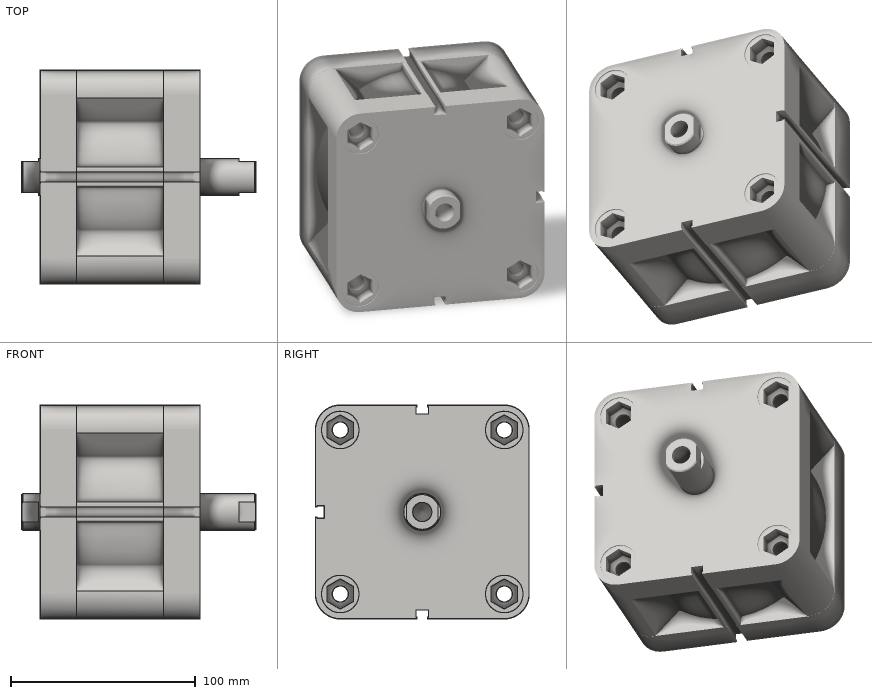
import cadquery as cq
import math


total_length = 127.0
short_rod_end = 10.0
cap_length = 19.8
barrel_length = 47.1
housing_length = 2 * cap_length + barrel_length

section_size = 116.0
half_section = section_size / 2
bolt_spacing = 88.9
bolt_offset = bolt_spacing / 2
corner_radius = half_section - bolt_offset
bolt_hole_diameter = 8.6
bolt_recess_diameter = 20.3
bolt_recess_depth = 0.6
hex_across_flats = 14.2
hex_corner_diameter = hex_across_flats / math.cos(math.pi / 6)
hex_depth = 9.0

barrel_radius = 53.2
lobe_width = 21.1
lobe_radius = 13.5
lobe_root_fillet = 1.3
lobe_angles = (45, 135, 225, 315)
rail_width = 10.7
rail_fillet = 1.0
mouth_fillet = 0.4

slot_mouth_width = 5.6
slot_channel_width = 6.6
slot_depth = 4.8
slot_lip = 1.0
slot_angles = (0, 90, 180)

rod_diameter = 20.1
rod_chamfer = 0.6
rod_flat_width = 16.9
rod_flat_length = 9.1
rod_hole_diameter = 10.4
rod_hole_depth = 20.3
drill_point_angle = 118
drill_tip_length = rod_hole_diameter / 2 / math.tan(math.radians(drill_point_angle / 2))


def at_x(x):
    """Workplane facing +X at a given X, with local axes Y and Z."""
    return cq.Workplane("YZ", origin=(x, 0, 0))


def turned(body, angle):
    """Turn a body about the X axis; +90 takes +Y to +Z, and +Z to -Y."""
    return body.rotate((0, 0, 0), (1, 0, 0), angle)


def bolt_circles(x, diameter, length):
    """Four round bars on the tie-bolt axes."""
    return at_x(x).rect(bolt_spacing, bolt_spacing, forConstruction=True).vertices().circle(
        diameter / 2).extrude(length)


def cut_slots_and_bores(body):
    """Cut the three sensor slots, the tie-bolt holes and the rod bore that run through the housing."""
    channel_height = slot_depth - slot_lip
    channel_bottom = half_section - slot_depth
    mouth = at_x(0).center(0, half_section).rect(slot_mouth_width, 2 * slot_depth).extrude(housing_length)
    channel = at_x(0).center(0, channel_bottom + channel_height / 2).rect(
        slot_channel_width, channel_height).extrude(housing_length)
    slot = mouth.union(channel)
    for angle in slot_angles:
        body = body.cut(turned(slot, angle))
    rod_bore = at_x(0).circle(rod_diameter / 2).extrude(housing_length)
    return body.cut(bolt_circles(0, bolt_hole_diameter, housing_length)).cut(rod_bore)


def make_cap():
    """End cap with its outer face at X = 0, hex bolt sockets in shallow round recesses."""
    cap = at_x(0).rect(section_size, section_size).extrude(cap_length).edges("|X").fillet(corner_radius)
    cap = cap.cut(bolt_circles(0, bolt_recess_diameter, bolt_recess_depth))
    hexagon = turned(at_x(0).polygon(6, hex_corner_diameter).extrude(hex_depth), 90)
    for y in (-bolt_offset, bolt_offset):
        for z in (-bolt_offset, bolt_offset):
            cap = cap.cut(hexagon.translate((0, y, z)))
    return cut_slots_and_bores(cap)


def profile_points(y, z, angles):
    """(Y, Z) places of a mirrored pair of profile corners, repeated at each angle about X."""
    points = []
    for angle in angles:
        a = math.radians(angle)
        for side in (-y, y):
            points.append((side * math.cos(a) - z * math.sin(a), side * math.sin(a) + z * math.cos(a)))
    return points


def fillet_lengthwise(body, points, radius):
    """Round the lengthwise barrel edges that pass through the given (Y, Z) points."""
    mid_x = cap_length + barrel_length / 2
    lengthwise = body.edges("|X")
    chosen = [lengthwise.edges(cq.NearestToPointSelector((mid_x, y, z))).val() for y, z in points]
    return body.newObject(chosen).fillet(radius)


def make_barrel():
    """Round body with four bolt lobes on its diagonals and rails that carry the sensor slots."""
    barrel = at_x(cap_length).circle(barrel_radius).extrude(barrel_length)

    bolt_distance = bolt_offset * math.sqrt(2)
    web = at_x(cap_length).rect(lobe_width, 2 * (bolt_distance + lobe_radius)).extrude(barrel_length)
    envelope = at_x(cap_length).rect(lobe_width, 2 * bolt_distance).extrude(barrel_length)
    for bolt_place in (-bolt_distance, bolt_distance):
        tip = at_x(cap_length).center(0, bolt_place).circle(lobe_radius).extrude(barrel_length)
        envelope = envelope.union(tip)
    lobe_pair = web.intersect(envelope)
    barrel = barrel.union(turned(lobe_pair, 45)).union(turned(lobe_pair, -45))

    rail = at_x(cap_length).center(0, half_section / 2).rect(rail_width, half_section).extrude(barrel_length)
    for angle in slot_angles:
        barrel = barrel.union(turned(rail, angle))

    barrel = cut_slots_and_bores(barrel)

    lobe_root = math.sqrt(barrel_radius**2 - (lobe_width / 2) ** 2)
    rail_root = math.sqrt(barrel_radius**2 - (rail_width / 2) ** 2)
    lobe_roots = profile_points(lobe_width / 2, lobe_root, lobe_angles)
    rail_roots = profile_points(rail_width / 2, rail_root, slot_angles)
    rail_tops = profile_points(rail_width / 2, half_section, slot_angles)
    slot_mouths = profile_points(slot_mouth_width / 2, half_section, slot_angles)
    barrel = fillet_lengthwise(barrel, lobe_roots, lobe_root_fillet)
    barrel = fillet_lengthwise(barrel, rail_roots + rail_tops, rail_fillet)
    return fillet_lengthwise(barrel, slot_mouths, mouth_fillet)


def make_rod():
    """Through rod with wrench flats and a blind drilled hole at both ends."""
    rod = at_x(0).circle(rod_diameter / 2).extrude(total_length).edges().chamfer(rod_chamfer)
    flatted_tip = at_x(0).rect(rod_flat_width, rod_diameter).extrude(rod_flat_length)
    round_tip = at_x(0).circle(rod_diameter / 2).extrude(rod_flat_length)
    hole_radius = rod_hole_diameter / 2
    hole = cq.Workplane("XY").polyline([
        (0, 0),
        (0, hole_radius),
        (rod_hole_depth, hole_radius),
        (rod_hole_depth + drill_tip_length, 0),
    ]).close().revolve(360, (0, 0), (1, 0))
    waste = round_tip.cut(flatted_tip).union(hole)
    rod = rod.cut(waste).cut(waste.mirror("YZ").translate((total_length, 0, 0)))
    return rod.translate((-short_rod_end, 0, 0))


near_cap = make_cap()
far_cap = near_cap.mirror("YZ").translate((housing_length, 0, 0))
barrel = make_barrel()
rod = make_rod()

result = cq.Compound.makeCompound([near_cap.val(), far_cap.val(), barrel.val(), rod.val()])